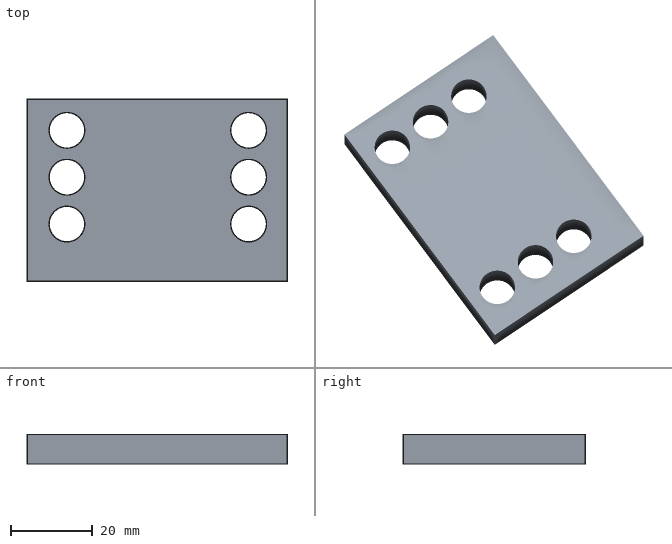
import cadquery as cq

length = 63.5
width = 44.45
thickness = 7.25

hole_diameter = 8.65
column_spacing = 44.3
row_pitch = 11.4
rows_per_column = 3
top_row_to_edge = 7.6
left_column_to_edge = 9.7


def make_plate():
    return cq.Workplane("XY").box(length, width, thickness)


def hole_centres():
    left_x = left_column_to_edge - length / 2
    top_y = width / 2 - top_row_to_edge
    return [
        (x, top_y - row * row_pitch)
        for x in (left_x, left_x + column_spacing)
        for row in range(rows_per_column)
    ]


result = make_plate().faces(">Z").workplane().pushPoints(hole_centres()).hole(hole_diameter)